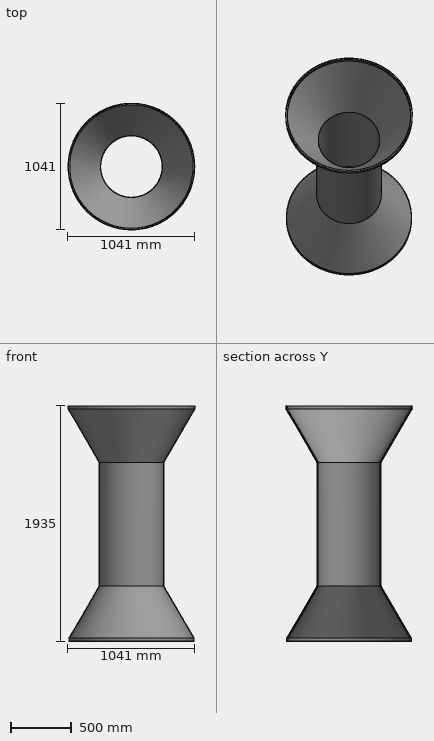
import cadquery as cq

height = 1935.0
top_diameter = 1041.0
bottom_diameter = 1030.0
tube_diameter = 532.0
wall = 14.0

rim_height = 27.0
top_flare_height = 465.0
bottom_flare_height = 453.0

top_radius = top_diameter / 2
bottom_radius = bottom_diameter / 2
tube_radius = tube_diameter / 2

outer_profile = [
    (bottom_radius, 0),
    (bottom_radius, rim_height),
    (tube_radius, bottom_flare_height),
    (tube_radius, height - top_flare_height),
    (top_radius, height - rim_height),
    (top_radius, height),
]

inner_profile = [(radius - wall, z) for radius, z in outer_profile]

result = (
    cq.Workplane("XZ")
    .polyline(outer_profile + inner_profile[::-1])
    .close()
    .revolve(360, (0, 0, 0), (0, 1, 0))
)